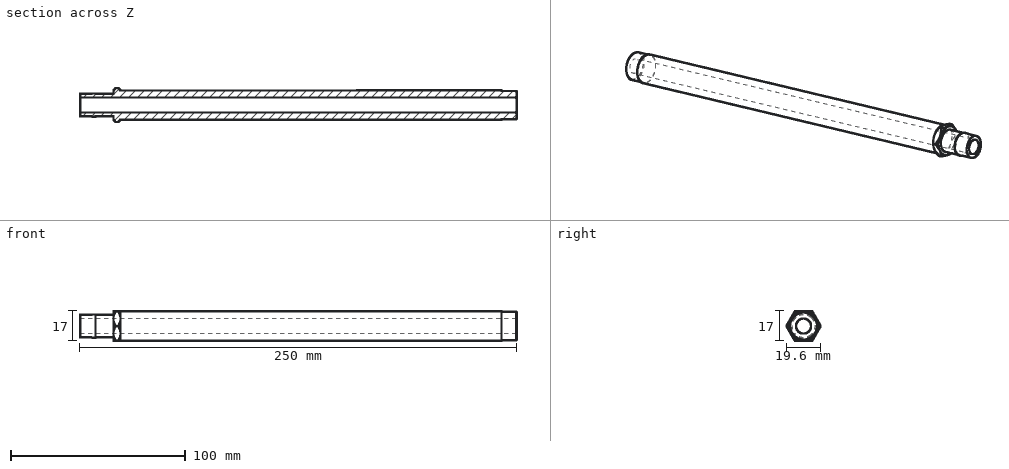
import cadquery as cq
import math

total_length = 250.0
body_diameter = 17.0
bore_diameter = 8.5

spigot_diameter = 13.0
spigot_length = 19.0
barb_diameter = 13.5
barb_ramp_offset = 6.0
barb_ramp_length = 1.2
barb_land_length = 1.5

hex_across_flats = body_diameter
hex_width = 4.1
hex_chamfer_angle = 45.0

tip_diameter = 16.4
tip_length = 8.7
tip_chamfer = 0.5

body_radius = body_diameter / 2
spigot_radius = spigot_diameter / 2
barb_radius = barb_diameter / 2
tip_radius = tip_diameter / 2
hex_flat_radius = hex_across_flats / 2
hex_corner_radius = hex_flat_radius / math.cos(math.radians(30))

x_start = -total_length / 2
x_end = total_length / 2
ramp_start = x_start + barb_ramp_offset
land_start = ramp_start + barb_ramp_length
land_end = land_start + barb_land_length
hex_start = x_start + spigot_length
hex_end = hex_start + hex_width
tip_start = x_end - tip_length


def revolved(profile_points):
    """Solid of revolution about X from (x, radius) points, closed along the axis."""
    return (
        cq.Workplane("XZ")
        .polyline(profile_points)
        .close()
        .revolve(360, (0, 0, 0), (1, 0, 0))
    )


def turned_shaft():
    """Spigot with its barb, body and chamfered tip in one turned profile."""
    return revolved([
        (x_start, 0),
        (x_start, spigot_radius),
        (ramp_start, spigot_radius),
        (land_start, barb_radius),
        (land_end, barb_radius),
        (land_end, spigot_radius),
        (hex_start, spigot_radius),
        (hex_start, body_radius),
        (tip_start, body_radius),
        (tip_start, tip_radius),
        (x_end - tip_chamfer, tip_radius),
        (x_end, tip_radius - tip_chamfer),
        (x_end, 0),
    ])


def hex_flange():
    """Hexagon with corners on the Y axis, its faces coned off outside the flats."""
    prism = (
        cq.Workplane("YZ", origin=(hex_start, 0, 0))
        .polygon(6, 2 * hex_corner_radius)
        .extrude(hex_width)
    )
    setback = (hex_corner_radius - hex_flat_radius) * math.tan(math.radians(hex_chamfer_angle))
    chamfer_envelope = revolved([
        (hex_start, 0),
        (hex_start, hex_flat_radius),
        (hex_start + setback, hex_corner_radius),
        (hex_end - setback, hex_corner_radius),
        (hex_end, hex_flat_radius),
        (hex_end, 0),
    ])
    return prism.intersect(chamfer_envelope)


def through_bore():
    return (
        cq.Workplane("YZ", origin=(x_start, 0, 0))
        .circle(bore_diameter / 2)
        .extrude(total_length)
    )


result = turned_shaft().union(hex_flange()).cut(through_bore())